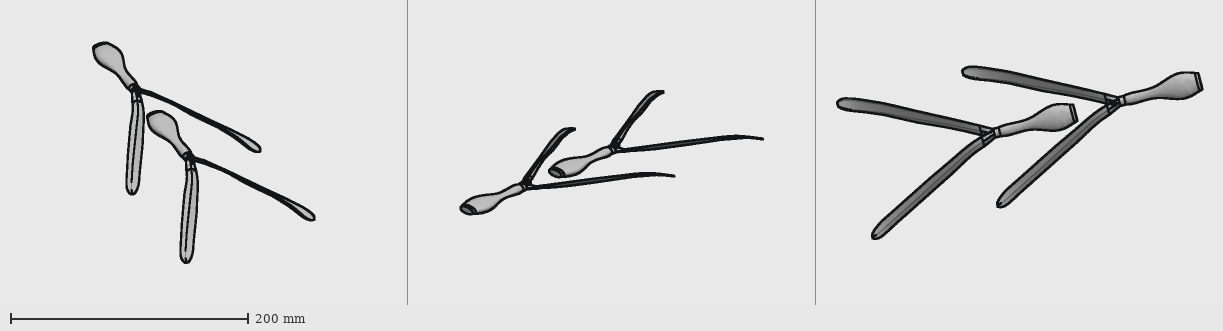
import cadquery as cq

unit_pitch = 109.0

cap_length = 2.7
cap_end_half_width = 7.2
cap_end_half_height = 3.0
handle_end_x = 65.5
handle_sections = [
    (cap_length, 8.0, 3.5),
    (9.0, 10.2, 5.0),
    (17.7, 11.0, 6.0),
    (25.5, 9.3, 5.5),
    (36.0, 5.7, 3.3),
    (51.0, 4.5, 2.7),
    (handle_end_x, 4.0, 3.3),
]

collar_end_x = 70.5
fork_end_x = 81.2
pin_hole_diameter = 3.3
pin_hole_x = 75.0
rib_start_x = 66.8
rib_end_x = 78.2
rib_width = 1.8
rib_top_z = 4.0
left_arm_start = [(-3.0, 1.0), (0, 3.0), (3.5, 0.3), (0, -3.0)]
right_arm_start = [(3.0, -1.0), (0, 3.0), (-3.5, -0.3), (0, -3.0)]

left_blade_stations = [
    (fork_end_x, -0.3, 4.8, 9.3, 2.0, 2.5),
    (95.5, 6.5, 7.8, 17.5, 1.0, 2.5),
    (112.8, 14.7, 9.0, 26.8, 0.3, 2.0),
    (132.3, 24.0, 7.2, 37.0, 0.0, 1.8),
    (154.5, 36.0, 6.3, 49.0, -0.3, 1.8),
    (169.5, 43.0, 4.8, 55.5, 0.0, 1.5),
    (181.7, 48.0, 2.5, 60.5, -1.0, 1.2),
    (188.3, 52.0, -0.3, 61.5, -1.8, 1.0),
    (192.0, 55.5, -1.5, 59.5, -2.5, 0.5),
]
right_blade_stations = [
    (fork_end_x, 1.0, -4.8, -8.0, -3.0, 2.5),
    (95.5, -4.0, -8.0, -14.5, -1.5, 2.5),
    (112.8, -12.3, -9.3, -24.5, -1.0, 2.7),
    (132.3, -22.0, -9.5, -34.5, -1.0, 2.7),
    (154.5, -34.0, -9.3, -46.3, -2.0, 2.7),
    (169.5, -41.8, -9.0, -53.8, -4.0, 2.7),
    (181.7, -48.0, -9.5, -60.0, -7.0, 1.2),
    (188.3, -53.0, -10.5, -61.5, -9.5, 1.0),
    (192.0, -56.8, -11.0, -60.0, -11.0, 0.5),
]
left_ridge = (0.45, 0.08)
right_ridge = (0.5, 0.6)
left_shoulder_position = 0.82
shoulder_rise = 0.4
crown_share = 0.7


def ellipse_wire(x, half_width, half_height):
    plane = cq.Plane(origin=(x, 0, 0), xDir=(0, 1, 0), normal=(1, 0, 0))
    return cq.Workplane(plane).ellipse(half_width, half_height).val()


def section_wire(x, corners):
    """Closed straight-sided section at one X."""
    return cq.Wire.makePolygon([cq.Vector(x, y, z) for y, z in corners], close=True)


def chord_point(station, position):
    """Point on the straight chord of a blade section, as (y, z)."""
    x, inner_y, inner_z, outer_y, outer_z, thickness = station
    return inner_y + position * (outer_y - inner_y), inner_z + position * (outer_z - inner_z)


def blade_corners(station, ridge):
    """Inner edge, ridge, outer edge and belly of a blade section."""
    x, thickness = station[0], station[-1]
    root_position, tip_position = ridge
    blade_length = left_blade_stations[-1][0] - fork_end_x
    ridge_position = root_position + (tip_position - root_position) * (x - fork_end_x) / blade_length
    ridge_y, chord_z = chord_point(station, ridge_position)
    ridge_z = chord_z + crown_share * thickness
    return [
        chord_point(station, 0),
        (ridge_y, ridge_z),
        chord_point(station, 1),
        (ridge_y, ridge_z - thickness),
    ]


def creased_corners(station, ridge, shoulder_position):
    """Blade section with one more corner between the ridge and the outer edge."""
    inner, top, outer, belly = blade_corners(station, ridge)
    shoulder_y, shoulder_z = chord_point(station, shoulder_position)
    return [inner, top, (shoulder_y, shoulder_z + shoulder_rise * station[-1]), outer, belly]


def make_cap():
    end = ellipse_wire(0, cap_end_half_width, cap_end_half_height)
    return cq.Solid.makeLoft([end, ellipse_wire(*handle_sections[0])], True)


def make_handle():
    return cq.Solid.makeLoft([ellipse_wire(*section) for section in handle_sections])


def make_blade(sections):
    """Solid skinned over sections given as (x, corners), with one smooth edge curve per corner."""
    corner_paths = zip(*[[cq.Vector(x, y, z) for y, z in corners] for x, corners in sections])
    edges = [cq.Edge.makeSpline(list(path)) for path in corner_paths]
    next_edges = edges[1:] + edges[:1]
    sides = [cq.Face.makeRuledSurface(edge, following) for edge, following in zip(edges, next_edges)]
    ends = [cq.Face.makeFromWires(section_wire(*section)) for section in (sections[0], sections[-1])]
    solid = cq.Solid.makeSolid(cq.Shell.makeShell(sides + ends))
    return solid.fix()


def make_left_blade():
    sections = []
    for station in left_blade_stations:
        sections.append((station[0], creased_corners(station, left_ridge, left_shoulder_position)))
    return make_blade(sections)


def make_right_blade():
    return make_blade([(station[0], blade_corners(station, right_ridge)) for station in right_blade_stations])


def make_arm(start_corners, root_station, ridge):
    start = section_wire(collar_end_x, start_corners)
    end = section_wire(fork_end_x, blade_corners(root_station, ridge))
    return cq.Solid.makeLoft([start, end], True)


def make_hub(has_pin_hole):
    x, half_width, half_height = handle_sections[-1]
    collar = cq.Solid.makeLoft(
        [ellipse_wire(x, half_width, half_height), ellipse_wire(collar_end_x, half_width, half_height)], True
    )
    left_arm = make_arm(left_arm_start, left_blade_stations[0], left_ridge)
    right_arm = make_arm(right_arm_start, right_blade_stations[0], right_ridge)
    rib = cq.Workplane("XY").box(
        rib_end_x - rib_start_x, rib_width, rib_top_z, centered=(False, True, False)
    ).translate((rib_start_x, 0, 0))
    hub = cq.Workplane(collar).union(cq.Workplane(left_arm)).union(cq.Workplane(right_arm)).union(rib)
    if has_pin_hole:
        hole = cq.Workplane("XY").center(pin_hole_x, 0).circle(pin_hole_diameter / 2)
        hub = hub.cut(hole.extrude(unit_pitch, both=True))
    return hub.solids().val()


def make_unit(has_pin_hole):
    """The five separate bodies of one tool."""
    return [
        make_cap(),
        make_handle(),
        make_hub(has_pin_hole),
        make_left_blade(),
        make_right_blade(),
    ]


bodies = []
for index, has_pin_hole in enumerate([True, False]):
    offset = cq.Vector(index * unit_pitch, 0, 0)
    bodies += [body.translate(offset) for body in make_unit(has_pin_hole)]

result = cq.Compound.makeCompound(bodies)